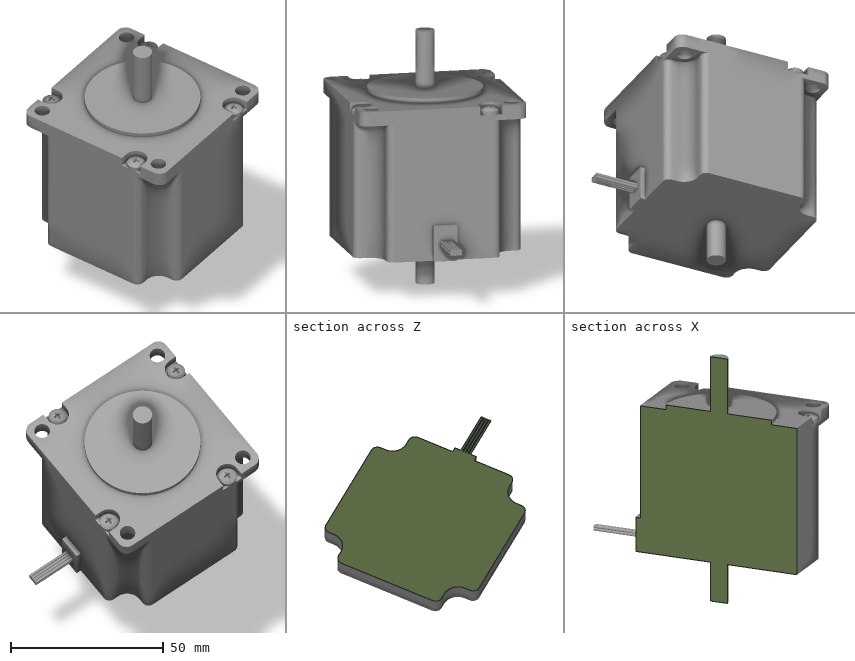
import cadquery as cq
import math


FLANGE_SIZE = 56.4
FLANGE_THICKNESS = 4.8
FLANGE_CORNER_RADIUS = 3.1
MOUNT_HOLE_SPACING = 47.14
MOUNT_HOLE_DIAMETER = 5.1
PILOT_DIAMETER = 38.1
PILOT_HEIGHT = 1.6

SHAFT_DIAMETER = 6.35
SHAFT_FRONT_LENGTH = 20.6
SHAFT_TOTAL_LENGTH = 85.1

BODY_SIZE = FLANGE_SIZE
FRONT_CAP_BOTTOM = -10.5
STATOR_BOTTOM = -39.0
BODY_BOTTOM = -51.0
RELIEF_CENTER = 24.02
RELIEF_RADIUS = 5.0
BODY_EDGE_RADIUS = 2.3

SCREW_RIM_POSITION = 25.515
SCREW_SIDE_POSITION = 15.85
SCREW_HEAD_DIAMETER = 5.9
SCREW_RIM_HEIGHT = 1.4
SCREW_HEAD_HEIGHT = 2.4
POCKET_WIDTH = 7.5
POCKET_DEPTH = 3.1
RECESS_LENGTH = 3.0
RECESS_WIDTH = 0.8
RECESS_DEPTH = 1.4
RECESS_FLOOR_DIAMETER = 1.0
RECESS_CENTER_DIAMETER = 1.2

LEAD_BLOCK_WIDTH = 8.0
LEAD_BLOCK_DEPTH = 1.7
WIRE_DIAMETER = 1.0
WIRE_PITCH = 0.98
WIRE_LENGTH = 15.0
WIRE_COLUMNS = 4
WIRE_ROWS = 2

OVERLAP = 0.5


def cylinder(diameter, bottom, top):
    """Solid cylinder on the motor axis."""
    return cq.Workplane("XY").workplane(offset=bottom).circle(diameter / 2).extrude(top - bottom)


def make_flange():
    """Square plate with rounded corners and four mounting holes."""
    return (
        cq.Workplane("XY")
        .rect(FLANGE_SIZE, FLANGE_SIZE)
        .extrude(-FLANGE_THICKNESS)
        .edges("|Z")
        .fillet(FLANGE_CORNER_RADIUS)
        .faces(">Z")
        .workplane(origin=(0, 0, 0))
        .rect(MOUNT_HOLE_SPACING, MOUNT_HOLE_SPACING, forConstruction=True)
        .vertices()
        .hole(MOUNT_HOLE_DIAMETER)
    )


def make_body_section(top, bottom):
    """Slice of the body: a square with a round-bottomed relief at each corner."""
    half = BODY_SIZE / 2
    inner = RELIEF_CENTER - RELIEF_RADIUS
    flat_end = inner - BODY_EDGE_RADIUS
    lip = half - BODY_EDGE_RADIUS
    edge_sag = BODY_EDGE_RADIUS * math.sqrt(0.5)
    relief_mid = RELIEF_CENTER - RELIEF_RADIUS * math.sqrt(0.5)
    quarter = (
        cq.Workplane("XY")
        .workplane(offset=bottom)
        .lineTo(half, 0)
        .lineTo(half, flat_end)
        .threePointArc((lip + edge_sag, flat_end + edge_sag), (lip, inner))
        .lineTo(RELIEF_CENTER, inner)
        .threePointArc((relief_mid, relief_mid), (inner, RELIEF_CENTER))
        .lineTo(inner, lip)
        .threePointArc((flat_end + edge_sag, lip + edge_sag), (flat_end, half))
        .lineTo(0, half)
        .close()
        .extrude(top - bottom)
    )
    section = quarter
    for index in range(1, 4):
        section = section.union(quarter.rotate((0, 0, 0), (0, 0, 1), 90 * index))
    return section.clean()


def make_pocket():
    """Pocket for a screw on the +X rim, round inside and open outwards."""
    length = FLANGE_SIZE / 2 - SCREW_RIM_POSITION + OVERLAP
    round_end = cq.Workplane("XY").circle(POCKET_WIDTH / 2).extrude(-POCKET_DEPTH)
    mouth = (
        cq.Workplane("XY")
        .center(length / 2, 0)
        .rect(length, POCKET_WIDTH)
        .extrude(-POCKET_DEPTH)
    )
    return round_end.union(mouth).translate((SCREW_RIM_POSITION, SCREW_SIDE_POSITION, 0))


def make_cross_recess():
    """Cross recess cutter: four arms whose ends slope in towards a round center hole."""
    top = SCREW_HEAD_HEIGHT
    depth = RECESS_DEPTH
    mouth_radius = RECESS_LENGTH / 2
    floor_radius = RECESS_FLOOR_DIAMETER / 2
    cone = (
        cq.Workplane("XZ")
        .polyline([(0, top), (mouth_radius, top), (floor_radius, top - depth), (0, top - depth)])
        .close()
        .revolve(360, (0, 0, 0), (0, 1, 0))
    )
    plane = cq.Workplane("XY").workplane(offset=top)
    arm_x = plane.rect(RECESS_LENGTH, RECESS_WIDTH).extrude(-depth)
    arm_y = plane.rect(RECESS_WIDTH, RECESS_LENGTH).extrude(-depth)
    center = plane.circle(RECESS_CENTER_DIAMETER / 2).extrude(-depth)
    return arm_x.union(arm_y).intersect(cone).union(center)


def make_screw():
    """Domed screw head with a cross recess, standing on the pocket floor of the +X rim."""
    radius = SCREW_HEAD_DIAMETER / 2
    dome_height = SCREW_HEAD_HEIGHT - SCREW_RIM_HEIGHT
    dome_radius = (radius**2 + dome_height**2) / (2 * dome_height)
    mid_radius = radius / 2
    mid_height = SCREW_HEAD_HEIGHT - dome_radius + math.sqrt(dome_radius**2 - mid_radius**2)
    head = (
        cq.Workplane("XZ")
        .lineTo(radius, 0)
        .lineTo(radius, SCREW_RIM_HEIGHT)
        .threePointArc((mid_radius, mid_height), (0, SCREW_HEAD_HEIGHT))
        .close()
        .revolve(360, (0, 0, 0), (0, 1, 0))
    )
    head = head.cut(make_cross_recess())
    return head.translate((SCREW_RIM_POSITION, SCREW_SIDE_POSITION, -POCKET_DEPTH))


def make_leads():
    """Lead exit block on the rear cap with two rows of straight wires."""
    face = BODY_SIZE / 2
    block_height = STATOR_BOTTOM - BODY_BOTTOM
    leads = cq.Workplane("XY").box(
        LEAD_BLOCK_WIDTH, LEAD_BLOCK_DEPTH, block_height, centered=(True, False, False)
    )
    for column in range(WIRE_COLUMNS):
        for row in range(WIRE_ROWS):
            x = (column - (WIRE_COLUMNS - 1) / 2) * WIRE_PITCH
            z = block_height / 2 + (row - (WIRE_ROWS - 1) / 2) * WIRE_PITCH
            wire = (
                cq.Workplane("XZ", origin=(x, LEAD_BLOCK_DEPTH - OVERLAP, z))
                .circle(WIRE_DIAMETER / 2)
                .extrude(-WIRE_LENGTH - OVERLAP)
            )
            leads = leads.union(wire)
    return leads.translate((0, face, BODY_BOTTOM))


casting = make_flange().union(make_body_section(-FLANGE_THICKNESS, FRONT_CAP_BOTTOM))
casting = casting.union(cylinder(PILOT_DIAMETER, 0, PILOT_HEIGHT)).clean()

result = casting
for quarter_turn in range(4):
    turn = ((0, 0, 0), (0, 0, 1), 90 * quarter_turn)
    result = result.cut(make_pocket().rotate(*turn))
    result = result.union(make_screw().rotate(*turn))

result = result.union(make_body_section(FRONT_CAP_BOTTOM, STATOR_BOTTOM), clean=False)
result = result.union(make_body_section(STATOR_BOTTOM, BODY_BOTTOM), clean=False)
result = result.union(make_leads(), clean=False)

shaft = cylinder(SHAFT_DIAMETER, SHAFT_FRONT_LENGTH - SHAFT_TOTAL_LENGTH, SHAFT_FRONT_LENGTH)
result = result.union(shaft, clean=False)